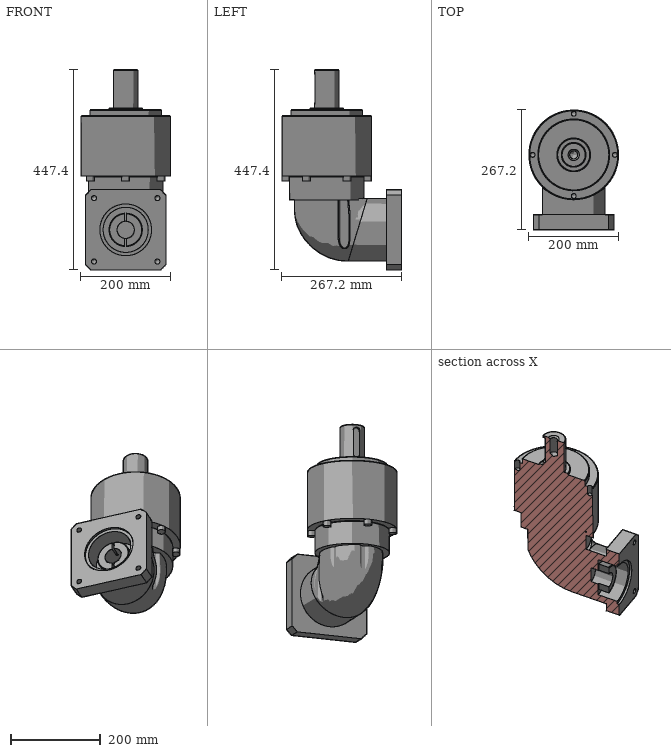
import cadquery as cq
import math


shaft_top = 357.5
collar_top = 272.0
pilot_top = 268.5
body_top = 254.5
body_bottom = 120.0
neck_bottom = 66.5

body_radius = 200.0 / 2
pilot_radius = 80.0
collar_radius = 37.5
shaft_radius = 55.0 / 2
neck_radius = 83.0
edge_chamfer = 2.0
neck_chamfer = 2.2

keyway_width = 16.0
keyway_length = 70.0
keyway_depth = 6.0
keyway_from_top = 6.5

drill_tip_angle = 118
shaft_hole_radius = 9.0
shaft_hole_depth = 44.5
shaft_sink_radius = 12.5
body_hole_radius = 5.5
body_hole_circle = 91.5
body_hole_depth = 22.5
body_hole_angles = (0, 90, 180, 270)
flange_hole_radius = 11.0 / 2
flange_hole_spacing = 141.5
flange_hole_depth = 22.5

bolt_count = 6
bolt_circle = 91.2
bolt_radius = 9.0
bolt_height = 11.0
flute_circle = 77.0
flute_radius = 11.0
flute_edge_radius = 2.2
bolt_angles = [360 / bolt_count * i - 90 for i in range(bolt_count)]

tube_radius = 140.0 / 2
elbow_back = 73.5
bend_radius = 121.0
bend_y = elbow_back - bend_radius
bend_z = bend_radius - tube_radius
elbow_sections = 4

pivot_y = -91.2
pivot_gap = 3.5
pivot_z = tube_radius + pivot_gap

flange_size = 179.8
overall_depth = 267.0
flange_front = body_radius - overall_depth
flange_thickness = 34.0
flange_corner = 12.5

pilot_bore_radius = 57.5
pilot_bore_depth = 5.5
cavity_radius = 100.5 / 2
cavity_depth = 53.5
hub_radius = 37.0
hub_recess = 27.5
hub_bore_radius = 19.2
hub_bore_depth = 71.5
hub_chamfer = 1.5
hub_slit_width = 4.5


def cylinder_up(radius, bottom, top):
    return cq.Workplane("XY").workplane(offset=bottom).circle(radius).extrude(top - bottom)


def cylinder_in(radius, depth_from, depth_to):
    """Cylinder on the input axis between two depths behind the flange front."""
    plane = cq.Workplane("XZ", origin=(0, flange_front + depth_from, 0))
    return plane.circle(radius).extrude(depth_from - depth_to)


def drill(radius, depth):
    """Blind hole cutter along -Z from the origin, with a conical tip."""
    tip = radius / math.tan(math.radians(drill_tip_angle / 2))
    profile = [(0, 0), (radius, 0), (radius, -depth), (0, -depth - tip)]
    return cq.Workplane("XZ").polyline(profile).close().revolve(360, (0, 0, 0), (0, 1, 0))


def on_circle(radius, angle):
    turn = math.radians(angle)
    return radius * math.cos(turn), radius * math.sin(turn)


def keyway():
    center_z = shaft_top - keyway_from_top - keyway_length / 2
    floor = cq.Workplane("XZ", origin=(0, shaft_radius - keyway_depth, center_z))
    return floor.slot2D(keyway_length, keyway_width, 90).extrude(-shaft_radius)


def output_housing():
    body = cylinder_up(body_radius, body_bottom, body_top).faces(">Z").chamfer(edge_chamfer)
    pilot = cylinder_up(pilot_radius, body_top, pilot_top).faces(">Z").chamfer(edge_chamfer)
    collar = cylinder_up(collar_radius, pilot_top, collar_top).faces(">Z").chamfer(edge_chamfer)
    shaft = cylinder_up(shaft_radius, collar_top, shaft_top).faces(">Z").chamfer(edge_chamfer)
    neck = cylinder_up(neck_radius, neck_bottom, body_bottom).faces(">Z").chamfer(neck_chamfer)
    shaft = shaft.cut(keyway())
    return body.union(pilot).union(collar).union(shaft).union(neck)


def bend_reach(angle):
    """Distance from the pivot to the outer bend arc, at an angle below the +Y direction."""
    offset_y = pivot_y - bend_y
    offset_z = pivot_z - bend_z
    half = offset_y * math.cos(angle) - offset_z * math.sin(angle)
    outside = offset_y**2 + offset_z**2 - bend_radius**2
    return -half + math.sqrt(half**2 - outside)


def elbow_section(angle):
    """Elliptical section of the elbow in the plane through the pivot at the given angle."""
    along_y = math.cos(angle)
    along_z = -math.sin(angle)
    reach = bend_reach(angle)
    middle = (reach + pivot_gap) / 2
    center = cq.Vector(0, pivot_y + middle * along_y, pivot_z + middle * along_z)
    normal = cq.Vector(0, along_z, -along_y)
    long_axis = cq.Vector(0, -along_y, -along_z)
    ellipse = cq.Edge.makeEllipse(reach - middle, tube_radius, center, normal, long_axis)
    return cq.Wire.assembleEdges([ellipse])


def side_prism(points):
    """Prism along X, wider than the tube, over a (Y, Z) outline."""
    return cq.Workplane("YZ").polyline(points).close().extrude(2 * tube_radius, both=True)


def cut_flutes(pipe):
    """Cut a round-edged vertical flute under every bolt except the one above the input tube."""
    for angle in bolt_angles[1:]:
        x, y = on_circle(flute_circle, angle)
        flute = cylinder_up(flute_radius, -tube_radius, neck_bottom).translate((x, y, 0))
        reach = flute_radius + flute_edge_radius
        around = cq.selectors.BoxSelector(
            (x - reach, y - reach, -tube_radius),
            (x + reach, y + reach, neck_bottom + flute_edge_radius),
            boundingbox=True,
        )
        pipe = pipe.cut(flute)
        rim = pipe.edges(around).edges("not >Z")
        pipe = rim.fillet(flute_edge_radius)
    return pipe


def elbow():
    """Lofted bend between an elliptical stub under the neck and the round input tube."""
    top_angle = math.atan2(pivot_z - bend_z, elbow_back - pivot_y)
    end_angle = math.atan2(pivot_z + tube_radius, bend_y - pivot_y)
    step = (end_angle - top_angle) / (elbow_sections - 1)
    sections = [elbow_section(top_angle + i * step) for i in range(elbow_sections)]
    bend = cq.Workplane(cq.Solid.makeLoft(sections))

    stub_length = elbow_back - pivot_y - pivot_gap * math.cos(top_angle)
    stub = cq.Workplane("XY", origin=(0, elbow_back - stub_length / 2, bend_z))
    stub = stub.ellipse(tube_radius, stub_length / 2).extrude(neck_bottom - bend_z)
    above_bend = [(pivot_y, pivot_z), (elbow_back, bend_z), (elbow_back, pivot_z)]
    stub = stub.intersect(side_prism(above_bend))

    tube = cylinder_in(tube_radius, flange_thickness, bend_y - flange_front)
    before_bend = [
        (pivot_y, pivot_z),
        (bend_y, -tube_radius),
        (flange_front, -tube_radius),
        (flange_front, pivot_z),
    ]
    tube = tube.intersect(side_prism(before_bend))
    below_tube_top = [
        (flange_front, -pivot_z),
        (elbow_back + pivot_z, -pivot_z),
        (elbow_back + pivot_z, tube_radius),
        (flange_front, tube_radius),
    ]
    pipe = bend.union(stub).union(tube).intersect(side_prism(below_tube_top))
    return cut_flutes(pipe)


def flange():
    plane = cq.Workplane("XZ", origin=(0, flange_front, 0))
    plate = plane.rect(flange_size, flange_size).extrude(-flange_thickness)
    return plate.edges("|Y").chamfer(flange_corner)


def bolt_heads():
    heads = cq.Workplane("XY")
    for angle in bolt_angles:
        x, y = on_circle(bolt_circle, angle)
        head = cylinder_up(bolt_radius, body_bottom - bolt_height, body_bottom)
        heads = heads.add(head.translate((x, y, 0)))
    return heads.combine()


def shaft_hole():
    """Countersunk centre hole in the shaft end."""
    hole = drill(shaft_hole_radius, shaft_hole_depth).translate((0, 0, shaft_top))
    sink_depth = shaft_sink_radius - shaft_hole_radius
    sink = cq.Solid.makeCone(shaft_hole_radius, shaft_sink_radius, sink_depth)
    return hole.union(cq.Workplane(sink).translate((0, 0, shaft_top - sink_depth)))


def body_holes():
    """Mounting holes in the body face around the pilot."""
    holes = cq.Workplane("XY")
    for angle in body_hole_angles:
        x, y = on_circle(body_hole_circle, angle)
        holes = holes.add(drill(body_hole_radius, body_hole_depth).translate((x, y, body_top)))
    return holes.combine()


def flange_holes():
    """Motor mounting holes at the flange corners."""
    hole = drill(flange_hole_radius, flange_hole_depth).rotate((0, 0, 0), (1, 0, 0), 90)
    offset = flange_hole_spacing / 2
    holes = cq.Workplane("XY")
    for x in (-offset, offset):
        for z in (-offset, offset):
            holes = holes.add(hole.translate((x, flange_front, z)))
    return holes.combine()


def input_cavity():
    """Pilot bore and the deeper cavity behind it."""
    pilot_bore = cylinder_in(pilot_bore_radius, 0, pilot_bore_depth)
    return pilot_bore.union(cylinder_in(cavity_radius, 0, cavity_depth))


def clamp_hub():
    """Hub standing on the cavity floor, still without its bore and slit."""
    hub = cylinder_in(hub_radius, hub_recess, cavity_depth)
    return hub.faces("<Y").chamfer(hub_chamfer)


def hub_bore():
    """Hub bore, running on past the cavity floor, with the slit that splits the hub."""
    bore = cylinder_in(hub_bore_radius, hub_recess, hub_bore_depth)
    slit_length = cavity_depth - hub_recess
    slit = cq.Workplane("XY").box(hub_slit_width, slit_length, 2 * hub_radius)
    return bore.union(slit.translate((0, flange_front + hub_recess + slit_length / 2, 0)))


result = output_housing().union(elbow()).union(flange()).union(bolt_heads())
result = result.cut(shaft_hole()).cut(body_holes()).cut(flange_holes())
result = result.cut(input_cavity()).union(clamp_hub()).cut(hub_bore())